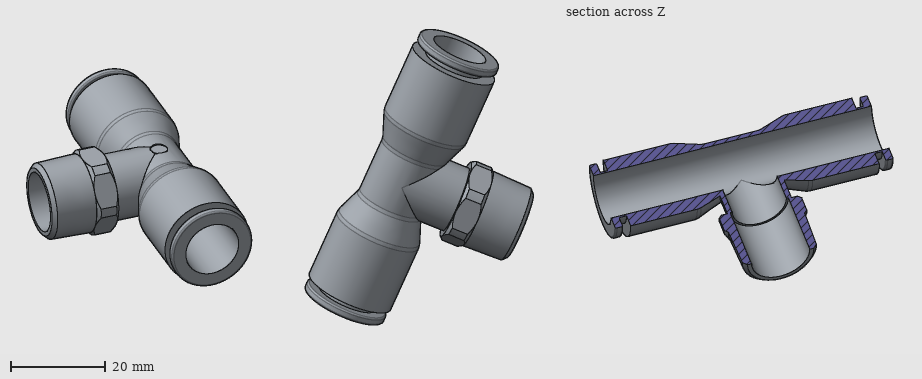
import cadquery as cq
import math

run_half_length = 31.0
sleeve_radius = 9.5
sleeve_outer_end = 27.7
sleeve_inner_end = 12.4
neck_radius = 7.2
neck_half_length = 6.4
blend_radius = 2.5

collar_radius = 9.1
collar_width = 1.75
collar_rounding = 0.4
collar_stem_radius = 6.6

branch_length = 27.2
hex_start = 12.45
hex_end = 17.5
hex_flat_radius = 8.5
hex_corner_radius = 9.25
thread_start_radius = 8.55
thread_taper = 1 / 32
thread_chamfer_length = 0.9
thread_tip_radius = 7.4

bore_radius = 6.0
counterbore_radius = 6.45

recess_radius = 1.85
recess_depth = 0.3


def along_branch(start, end, radius):
    """Round bar on the branch axis, between two distances from the run axis."""
    return cq.Workplane("XZ").workplane(offset=start).circle(radius).extrude(end - start)


def make_run():
    """Both sleeves, their tapers and the neck between them, as one turned body."""
    profile = [
        (-sleeve_outer_end, 0),
        (-sleeve_outer_end, sleeve_radius),
        (-sleeve_inner_end, sleeve_radius),
        (-neck_half_length, neck_radius),
        (neck_half_length, neck_radius),
        (sleeve_inner_end, sleeve_radius),
        (sleeve_outer_end, sleeve_radius),
        (sleeve_outer_end, 0),
    ]
    taper_selection_half = (sleeve_inner_end + sleeve_outer_end) / 2
    run = cq.Workplane("XY").polyline(profile).close().revolve(360, (0, 0, 0), (1, 0, 0))
    taper_span = cq.selectors.BoxSelector(
        (-taper_selection_half, -run_half_length, -run_half_length),
        (taper_selection_half, run_half_length, run_half_length),
    )
    taper_ends = run.edges("%CIRCLE").edges(taper_span)
    return taper_ends.fillet(blend_radius)


def make_collar(side):
    """Release collar: a rounded flange on a thinner stem; side is -1 or 1."""
    stem = (
        cq.Workplane("YZ", origin=(side * sleeve_outer_end, 0, 0))
        .circle(collar_stem_radius)
        .extrude(side * (run_half_length - sleeve_outer_end))
    )
    flange = (
        cq.Workplane("YZ", origin=(side * run_half_length, 0, 0))
        .circle(collar_radius)
        .extrude(-side * collar_width)
        .edges()
        .fillet(collar_rounding)
    )
    return stem.union(flange)


def make_hexagon():
    """Hexagon with two flats facing +-Z, its corners turned down and chamfered."""
    across_corners = 2 * hex_flat_radius / math.cos(math.pi / 6)
    hex_length = hex_end - hex_start
    prism = cq.Workplane("XZ").workplane(offset=hex_start).polygon(6, across_corners).extrude(hex_length)
    turned_blank = along_branch(hex_start, hex_end, hex_corner_radius)
    turned_blank = turned_blank.edges().chamfer(hex_corner_radius - hex_flat_radius)
    return prism.intersect(turned_blank)


def make_thread():
    """Taper thread envelope with a chamfered tip."""
    chamfer_start = branch_length - thread_chamfer_length
    end_radius = thread_start_radius - thread_taper * (chamfer_start - hex_end)
    profile = [
        (0, -hex_end),
        (thread_start_radius, -hex_end),
        (end_radius, -chamfer_start),
        (thread_tip_radius, -branch_length),
        (0, -branch_length),
    ]
    return cq.Workplane("XY").polyline(profile).close().revolve(360, (0, 0, 0), (0, 1, 0))


def make_passages():
    """Straight bore through the run, and the branch bore with its counterbore up to the hexagon."""
    run_bore = cq.Workplane("YZ").circle(bore_radius).extrude(run_half_length, both=True)
    branch_bore = along_branch(0, branch_length, bore_radius)
    counterbore = along_branch(hex_start, branch_length, counterbore_radius)
    return run_bore.union(branch_bore).union(counterbore)


def make_recess():
    """Flat-bottomed round recess, its depth measured from the crest of the neck."""
    floor = cq.Workplane("XY").workplane(offset=neck_radius - recess_depth)
    return floor.circle(recess_radius).extrude(2 * recess_depth)


body = make_run()
for side in (-1, 1):
    body = body.union(make_collar(side))
body = body.union(along_branch(0, hex_start, neck_radius))
body = body.union(make_hexagon()).union(make_thread())
result = body.cut(make_passages()).cut(make_recess())